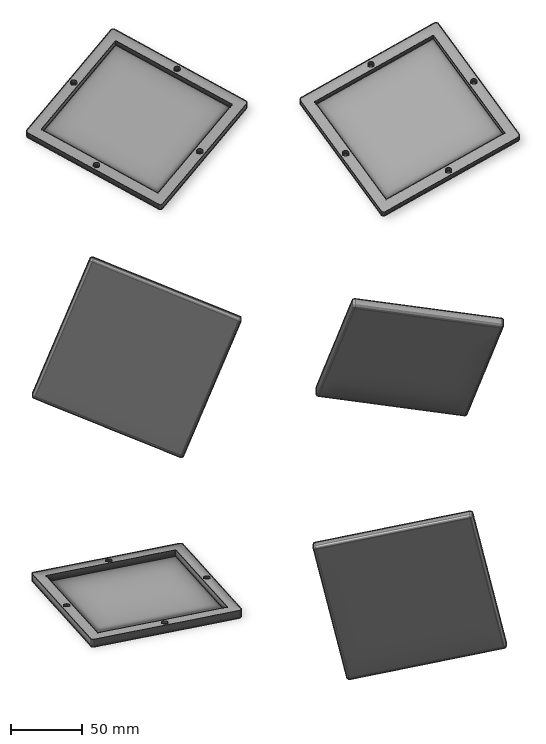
import cadquery as cq

length = 114.2
width = 108.3
height = 7.0
edge_radius = 1.9

pocket_length = 98.3
pocket_width = 92.5
pocket_depth = 5.0

hole_diameter = 4.5
hole_depth = 5.0
rim_along_x = (length - pocket_length) / 2
rim_along_y = (width - pocket_width) / 2
hole_x = (length - rim_along_x) / 2
hole_y = (width - rim_along_y) / 2
hole_centres = [(hole_x, 0), (-hole_x, 0), (0, hole_y), (0, -hole_y)]


def make_body():
    """Plate with rounded vertical corners and a rounded bottom edge."""
    plate = cq.Workplane("XY").box(length, width, height, centered=(True, True, False))
    return plate.edges("|Z").fillet(edge_radius).faces("<Z").edges().fillet(edge_radius)


def make_pocket():
    return (
        cq.Workplane("XY")
        .workplane(offset=height - pocket_depth)
        .rect(pocket_length, pocket_width)
        .extrude(pocket_depth)
    )


def make_holes():
    return (
        cq.Workplane("XY")
        .workplane(offset=height - hole_depth)
        .pushPoints(hole_centres)
        .circle(hole_diameter / 2)
        .extrude(hole_depth)
    )


result = make_body().cut(make_pocket()).cut(make_holes())